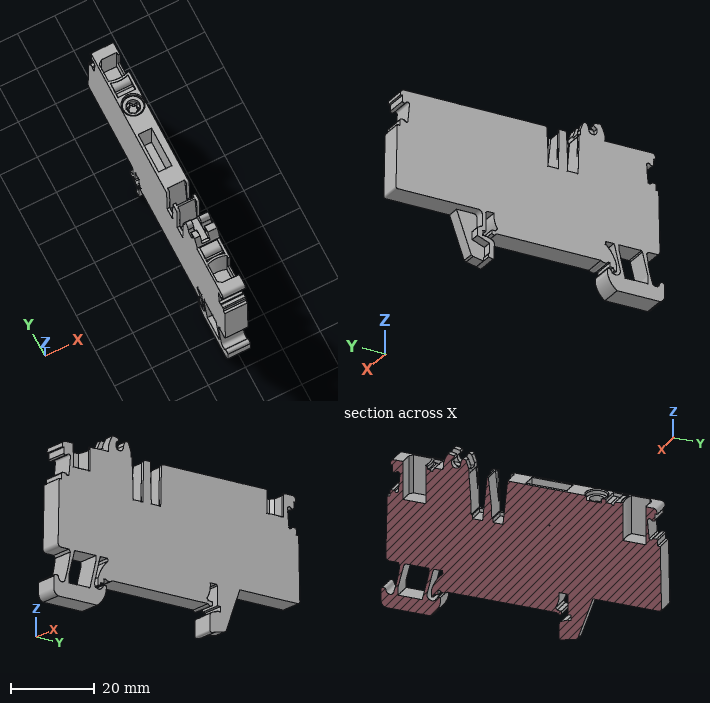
import cadquery as cq
import math

THICKNESS = 6.1
HALF_THICKNESS = THICKNESS / 2
BODY_TOP = 39.4
BODY_BOTTOM = 12.43
BODY_HALF_LENGTH = 36.05
BOTTOM_CORNER_RADIUS = {1: 0.6, -1: 0.95}
RAIL_SEAT = 7.05
FOOT_END = -37.34
OVERLAP = 0.5
ARC_CORNER_GAP = 1 - math.sqrt(0.5)

SLOT_FLOOR = 28.75
SLOT_ROUNDING = 0.6
FLARE_HALF_WIDTH = 2.27
FLARE_FLOOR = SLOT_FLOOR - 1.0
FLARE_FLOOR_INSET = 0.35
TOP_SLOTS = [
    (-5.47, -8.27, -5.25, -8.5, -4.27, -9.17),
    (-10.79, -13.65, -10.58, -13.95, -9.63, -14.25),
]

HOOK_END = -21.03
HOOK_TOP = 43.6
HOOK_SLOT_X = (-1.58, 0.5)
HOOK_SLOT_FLOOR = 40.1
HOOK_LIP_HEIGHT = 40.85
HOOK_LIP_Y = -20.3

WEB_X = (-0.5, HALF_THICKNESS)

TOP_CENTRE = 0.2
ENTRY_HALF_WIDTH = 2.54
ENTRY_INNER = 26.05
ENTRY_BULGE = 25.6
ENTRY_OUTER = 31.67
ENTRY_CORNER = (1.0, 0.8)
ENTRY_DEPTH = 10.0
SIDE_OPENING_DEPTH = 6.0
SIDE_LIP = 0.75

RECESS_HALF_WIDTH = 2.34
RECESS_NEAR = 21.35
RECESS_FAR = 25.4
RECESS_BULGE = 25.0
RECESS_DEPTH = 0.2
RECESS_TROUGH_DEPTH = 1.3
RECESS_LOW_DEPTH = 0.9
RECESS_ROUND_LENGTH = 1.35
RECESS_RAMP_LENGTH = 0.62
RECESS_STEP_START = {1: 24.75, -1: -22.5}

SCREW_Y = 18.29
SCREW_MOUTH_RADIUS = 2.87
SCREW_BORE_RADIUS = 2.6
SCREW_BORE_DEPTH = 1.2
SOCKET_RIM_RADIUS = 1.72
SOCKET_RIM_DEPTH = 1.5
SOCKET_RADIUS = 1.1
SOCKET_LOBE_RADIUS = 0.33
SOCKET_LOBES = 6
SOCKET_DEPTH = 3.0

POCKET_X = (-2.34, 1.22)
POCKET_Y = (0.36, 11.02)
POCKET_DEPTH = 10.0


def plane_yz(x=-HALF_THICKNESS):
    """Sketch plane whose axes are Y and Z, facing +X, at the given X."""
    return cq.Workplane("YZ", origin=(x, 0, 0))


def plane_top():
    """Sketch plane on top of the body."""
    return cq.Workplane("XY", origin=(0, 0, BODY_TOP))


def end_piece(side):
    """Half of the main body with the clip notch at its end; side is +1 or -1 along Y."""
    bottom_radius = BOTTOM_CORNER_RADIUS[side]
    corner_gap = bottom_radius * ARC_CORNER_GAP

    def at(y, z):
        return (side * y, z)

    outline = (
        plane_yz()
        .moveTo(*at(0, BODY_TOP))
        .lineTo(*at(33.8, BODY_TOP))
        .threePointArc(at(34.52, 39.1), at(34.8, 38.4))
        .lineTo(*at(34.8, 37.83))
        .lineTo(*at(34.3, 37.83))
        .lineTo(*at(34.3, 36.2))
        .threePointArc(at(33.8, 35.88), at(33.3, 36.1))
        .threePointArc(at(32.7, 36.3), at(32.37, 35.75))
        .lineTo(*at(32.8, 31.15))
        .threePointArc(at(33.15, 30.9), at(33.55, 31.2))
        .lineTo(*at(33.85, 31.4))
        .lineTo(*at(34.7, 31.4))
        .lineTo(*at(35.0, 31.1))
        .lineTo(*at(35.0, 29.65))
        .lineTo(*at(35.7, 29.65))
        .lineTo(*at(BODY_HALF_LENGTH, BODY_BOTTOM + bottom_radius))
        .threePointArc(
            at(BODY_HALF_LENGTH - corner_gap, BODY_BOTTOM + corner_gap),
            at(BODY_HALF_LENGTH - bottom_radius, BODY_BOTTOM),
        )
        .lineTo(*at(0, BODY_BOTTOM))
        .close()
    )
    return outline.extrude(THICKNESS)


def rail_block():
    """Middle block under the body, with a small lip at each end where the rail edges sit."""
    outline = (
        plane_yz()
        .moveTo(9.3, BODY_BOTTOM + OVERLAP)
        .lineTo(9.3, BODY_BOTTOM)
        .threePointArc((9.0, 9.8), (8.35, 8.4))
        .lineTo(8.8, 7.85)
        .lineTo(9.9, 7.75)
        .lineTo(9.9, 6.85)
        .threePointArc((9.3, 6.6), (8.65, RAIL_SEAT))
        .lineTo(-19.9, RAIL_SEAT)
        .threePointArc((-20.95, 6.65), (-21.9, RAIL_SEAT))
        .lineTo(-22.35, RAIL_SEAT)
        .lineTo(-22.35, 5.95)
        .lineTo(-23.2, 5.9)
        .lineTo(-23.6, 5.1)
        .lineTo(-24.1, 5.1)
        .lineTo(-24.1, 7.05)
        .threePointArc((-22.95, 9.6), (-21.15, 11.75))
        .lineTo(-21.3, BODY_BOTTOM)
        .lineTo(-21.3, BODY_BOTTOM + OVERLAP)
        .close()
    )
    return outline.extrude(THICKNESS)


def latch_foot():
    """Springy latch arm across the full thickness, stiffened by a thinner web behind it."""
    arm = (
        plane_yz()
        .moveTo(13.6, BODY_BOTTOM + OVERLAP)
        .lineTo(13.6, BODY_BOTTOM)
        .threePointArc((12.82, 12.11), (12.5, 11.33))
        .lineTo(12.5, 8.26)
        .lineTo(13.85, 7.48)
        .lineTo(13.85, 5.34)
        .lineTo(10.53, 4.05)
        .lineTo(10.53, 1.45)
        .lineTo(10.8, 1.1)
        .lineTo(10.8, 0.3)
        .lineTo(9.8, 0.05)
        .threePointArc((9.35, 0.15), (9.17, 0.5))
        .lineTo(9.17, 4.1)
        .threePointArc((9.4, 4.75), (9.9, 5.15))
        .lineTo(11.45, 5.74)
        .lineTo(12.33, 5.74)
        .lineTo(12.33, 7.05)
        .lineTo(11.45, 7.05)
        .lineTo(11.45, 12.1)
        .lineTo(11.15, BODY_BOTTOM)
        .lineTo(11.15, BODY_BOTTOM + OVERLAP)
        .close()
        .extrude(THICKNESS)
    )
    web_front, web_back = WEB_X
    web = (
        plane_yz(web_front)
        .moveTo(18.1, BODY_BOTTOM + OVERLAP)
        .lineTo(18.1, BODY_BOTTOM)
        .lineTo(14.1, 1.2)
        .lineTo(13.6, 0.9)
        .lineTo(10.5, 0.3)
        .lineTo(10.0, 0.5)
        .lineTo(10.0, 4.5)
        .lineTo(12.9, 5.6)
        .lineTo(12.9, 7.8)
        .lineTo(12.0, 8.2)
        .lineTo(12.0, BODY_BOTTOM + OVERLAP)
        .close()
        .extrude(web_back - web_front)
    )
    return arm.union(web)


def hook_foot():
    """Fixed foot hanging on two slanted struts, hooked at both ends."""
    outline = (
        plane_yz()
        .moveTo(-23.4, BODY_BOTTOM + OVERLAP)
        .lineTo(-23.4, BODY_BOTTOM)
        .lineTo(-23.66, 11.8)
        .lineTo(-25.2, 5.5)
        .threePointArc((-24.3, 4.22), (-22.9, 4.7))
        .lineTo(-22.35, 5.5)
        .lineTo(-21.7, 5.4)
        .lineTo(-21.7, 3.95)
        .threePointArc((-22.6, 1.75), (-24.3, 0))
        .lineTo(-36.0, 0)
        .threePointArc((-36.95, 0.62), (FOOT_END, 1.7))
        .lineTo(FOOT_END, 4.75)
        .threePointArc((-36.6, 5.3), (-35.9, 4.7))
        .threePointArc((-34.95, 3.8), (-34.05, 4.3))
        .threePointArc((-33.0, 8.2), (-32.4, 11.8))
        .lineTo(-32.85, BODY_BOTTOM)
        .lineTo(-32.85, BODY_BOTTOM + OVERLAP)
        .close()
        .extrude(THICKNESS)
    )
    window = (
        plane_yz()
        .moveTo(-24.75, BODY_BOTTOM)
        .lineTo(-30.95, BODY_BOTTOM)
        .lineTo(-31.2, 12.1)
        .lineTo(-32.75, 6.0)
        .lineTo(-32.75, 3.97)
        .lineTo(-26.55, 3.97)
        .lineTo(-24.75, 11.3)
        .close()
        .extrude(THICKNESS)
    )
    return outline.cut(window)


def marker_hook():
    """Two-pronged hook on top, split along Y by a slot with a low lip at its -Y end."""
    outline = (
        plane_yz()
        .moveTo(-14.27, BODY_TOP - OVERLAP)
        .lineTo(-14.27, 40.65)
        .lineTo(-15.0, 42.7)
        .threePointArc((-15.6, 43.0), (-16.3, 42.4))
        .lineTo(-16.6, 41.6)
        .threePointArc((-17.6, 40.25), (-18.8, 41.3))
        .lineTo(-18.75, 41.95)
        .lineTo(-17.85, 42.75)
        .lineTo(-18.1, 43.35)
        .lineTo(-19.3, HOOK_TOP)
        .lineTo(-19.9, HOOK_TOP)
        .lineTo(-20.1, 43.15)
        .threePointArc((-20.65, 42.0), (HOOK_END, 40.75))
        .lineTo(HOOK_END, BODY_TOP - OVERLAP)
        .close()
        .extrude(THICKNESS)
    )
    slot_front, slot_back = HOOK_SLOT_X
    slot = (
        plane_yz(slot_front)
        .moveTo(0, HOOK_SLOT_FLOOR)
        .lineTo(HOOK_LIP_Y, HOOK_SLOT_FLOOR)
        .lineTo(HOOK_LIP_Y, HOOK_LIP_HEIGHT)
        .lineTo(FOOT_END, HOOK_LIP_HEIGHT)
        .lineTo(FOOT_END, HOOK_TOP)
        .lineTo(0, HOOK_TOP)
        .close()
        .extrude(slot_back - slot_front)
    )
    return outline.cut(slot)


def top_slot(floor_high, floor_low, top_high, top_low, flare_high, flare_low):
    """One tapered slot, rounded at its +Y mouth, plus the wider and deeper flare between the side webs."""
    corner_gap = SLOT_ROUNDING * ARC_CORNER_GAP
    rounding_middle = (top_high + corner_gap, BODY_TOP - corner_gap)
    through = (
        plane_yz()
        .moveTo(floor_high, SLOT_FLOOR)
        .lineTo(top_high, BODY_TOP - SLOT_ROUNDING)
        .threePointArc(rounding_middle, (top_high + SLOT_ROUNDING, BODY_TOP))
        .lineTo(top_low, BODY_TOP)
        .lineTo(floor_low, SLOT_FLOOR)
        .close()
        .extrude(THICKNESS)
    )
    flare_floor_low = floor_low + FLARE_FLOOR_INSET
    flare = (
        plane_yz(-FLARE_HALF_WIDTH)
        .moveTo(floor_high, FLARE_FLOOR)
        .lineTo(flare_high, BODY_TOP)
        .lineTo(flare_low, BODY_TOP)
        .lineTo(flare_floor_low, FLARE_FLOOR)
        .close()
        .extrude(2 * FLARE_HALF_WIDTH)
    )
    return through.union(flare)


def from_top_centre(side, distance):
    """Y position at a distance from the centre of the top features, towards the given end."""
    return TOP_CENTRE + side * distance


def wire_entry(side):
    """Wire pocket with a bulged inner wall, opened through the +X wall beside a short lip."""
    corner_x, corner_y = ENTRY_CORNER
    inner = from_top_centre(side, ENTRY_INNER)
    outer = from_top_centre(side, ENTRY_OUTER)
    pocket = (
        plane_top()
        .moveTo(-ENTRY_HALF_WIDTH, inner)
        .lineTo(-ENTRY_HALF_WIDTH, outer - side * corner_y)
        .lineTo(-ENTRY_HALF_WIDTH + corner_x, outer)
        .lineTo(ENTRY_HALF_WIDTH, outer)
        .lineTo(ENTRY_HALF_WIDTH, inner)
        .threePointArc((0, from_top_centre(side, ENTRY_BULGE)), (-ENTRY_HALF_WIDTH, inner))
        .close()
        .extrude(-ENTRY_DEPTH)
    )
    opening_start = max(inner, outer) - SIDE_LIP
    opening_end = min(inner, outer)
    opening = (
        plane_top()
        .moveTo(0, opening_start)
        .lineTo(HALF_THICKNESS, opening_start)
        .lineTo(HALF_THICKNESS, opening_end)
        .lineTo(0, opening_end)
        .close()
        .extrude(-SIDE_OPENING_DEPTH)
    )
    return pocket.union(opening)


def marker_recess(side):
    """Recess beside the wire entry; its floor rounds down towards -Y to a lower floor past a shallow ramp."""
    near = from_top_centre(side, RECESS_NEAR)
    far = from_top_centre(side, RECESS_FAR)
    outline = (
        plane_top()
        .moveTo(-RECESS_HALF_WIDTH, far)
        .lineTo(-RECESS_HALF_WIDTH, near)
        .lineTo(RECESS_HALF_WIDTH, near)
        .lineTo(RECESS_HALF_WIDTH, far)
        .threePointArc((0, from_top_centre(side, RECESS_BULGE)), (-RECESS_HALF_WIDTH, far))
        .close()
        .extrude(-RECESS_TROUGH_DEPTH)
    )
    step_start = RECESS_STEP_START[side]
    ramp_start = step_start - RECESS_ROUND_LENGTH
    low_floor_start = ramp_start - RECESS_RAMP_LENGTH
    round_drop = RECESS_TROUGH_DEPTH - RECESS_DEPTH
    round_middle = (
        ramp_start + RECESS_ROUND_LENGTH * ARC_CORNER_GAP,
        BODY_TOP - RECESS_DEPTH - round_drop * ARC_CORNER_GAP,
    )
    high_y = max(near, far)
    low_y = min(near, far)
    profile = (
        plane_yz(-RECESS_HALF_WIDTH)
        .moveTo(high_y, BODY_TOP)
        .lineTo(high_y, BODY_TOP - RECESS_DEPTH)
        .lineTo(step_start, BODY_TOP - RECESS_DEPTH)
        .threePointArc(round_middle, (ramp_start, BODY_TOP - RECESS_TROUGH_DEPTH))
        .lineTo(low_floor_start, BODY_TOP - RECESS_LOW_DEPTH)
        .lineTo(low_y, BODY_TOP - RECESS_LOW_DEPTH)
        .lineTo(low_y, BODY_TOP)
        .close()
        .extrude(2 * RECESS_HALF_WIDTH)
    )
    return outline.intersect(profile)


def screw_opening():
    """Chamfered screw bore with a round rim and a lobed driver socket in its floor."""
    mouth_chamfer = SCREW_MOUTH_RADIUS - SCREW_BORE_RADIUS
    bore = plane_top().center(0, SCREW_Y).circle(SCREW_BORE_RADIUS).extrude(-SCREW_BORE_DEPTH)
    mouth = cq.Workplane(
        cq.Solid.makeCone(
            SCREW_MOUTH_RADIUS,
            SCREW_BORE_RADIUS,
            mouth_chamfer,
            cq.Vector(0, SCREW_Y, BODY_TOP),
            cq.Vector(0, 0, -1),
        )
    )
    floor = plane_top().workplane(offset=-SCREW_BORE_DEPTH).center(0, SCREW_Y)
    rim = floor.circle(SOCKET_RIM_RADIUS).extrude(-SOCKET_RIM_DEPTH)
    socket = floor.circle(SOCKET_RADIUS).extrude(-SOCKET_DEPTH)
    lobes = (
        floor.polarArray(SOCKET_RADIUS, 90, 360, SOCKET_LOBES)
        .circle(SOCKET_LOBE_RADIUS)
        .extrude(-SOCKET_DEPTH)
    )
    return bore.union(mouth).union(rim).union(socket).union(lobes)


def test_pocket():
    """Rectangular pocket in the top."""
    width = POCKET_X[1] - POCKET_X[0]
    length = POCKET_Y[1] - POCKET_Y[0]
    return (
        plane_top()
        .center(sum(POCKET_X) / 2, sum(POCKET_Y) / 2)
        .rect(width, length)
        .extrude(-POCKET_DEPTH)
    )


result = end_piece(1).union(end_piece(-1))
for slot in TOP_SLOTS:
    result = result.cut(top_slot(*slot))
for add_on in (rail_block(), latch_foot(), hook_foot(), marker_hook()):
    result = result.union(add_on)
for end_side in (1, -1):
    result = result.cut(wire_entry(end_side)).cut(marker_recess(end_side))
result = result.cut(screw_opening()).cut(test_pocket())